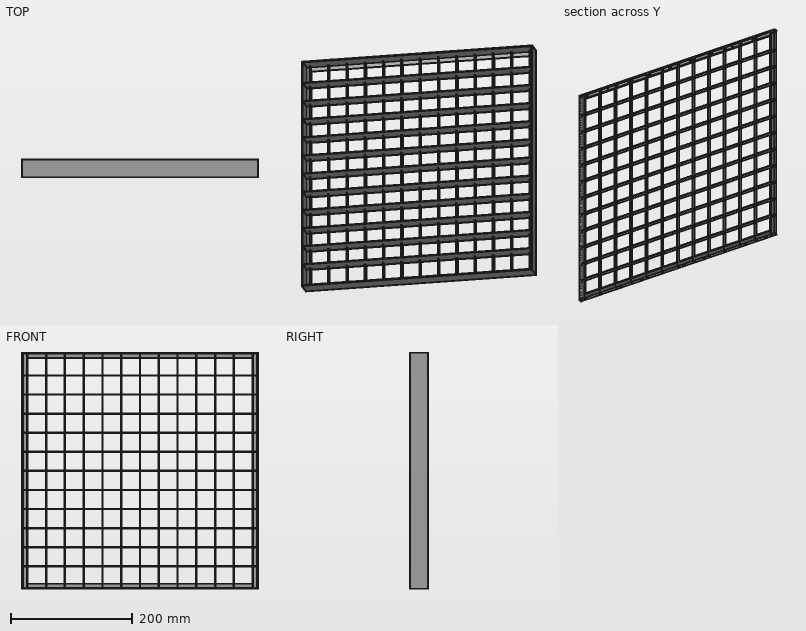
import cadquery as cq

side = 390.0
depth = 30.0
wall = 2.0
lip_width = 7.0
lip_thickness = 2.0

bar_thickness = 1.35

shelf_count = 11
shelf_span = 315.0

upright_count = 13
upright_span = 372.0
upright_depth = 10.0

inside = side - 2 * wall


def rear_block(width, height, length):
    """Box centred in X and Z that reaches forward by length from the rear plane."""
    return cq.Workplane("XY").box(width, length, height).translate((0, depth - length / 2, 0))


def centred_places(count, span):
    pitch = span / (count - 1)
    return [index * pitch - span / 2 for index in range(count)]


def make_frame():
    lip_opening = inside - 2 * lip_width
    band = rear_block(side, side, depth).cut(rear_block(inside, inside, depth))
    lip = rear_block(inside, inside, lip_thickness)
    lip = lip.cut(rear_block(lip_opening, lip_opening, lip_thickness))
    return band.union(lip)


result = make_frame()

shelf = rear_block(inside, bar_thickness, depth)
for z in centred_places(shelf_count, shelf_span):
    result = result.union(shelf.translate((0, 0, z)))

upright = rear_block(bar_thickness, inside, upright_depth)
for x in centred_places(upright_count, upright_span):
    result = result.union(upright.translate((x, 0, 0)))